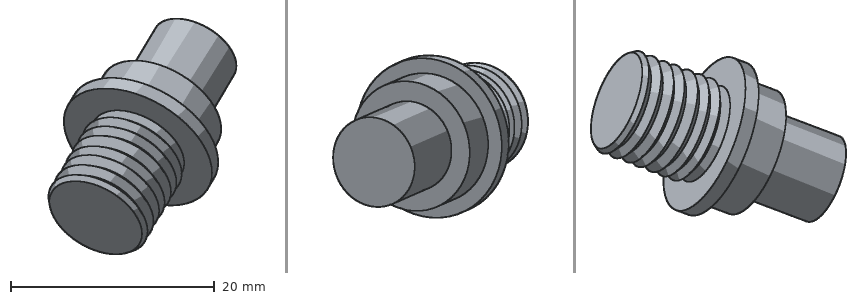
import cadquery as cq


flange_diameter = 16.0
flange_length = 1.5
collar_diameter = 13.0
collar_length = 4.0
shaft_diameter = 9.0
shaft_length = 8.0

ridged_length = 10.0
neck_diameter = 10.0
crest_diameter = 10.7
low_crest_diameter = 10.6
root_diameter = 9.2
tip_diameter = 10.0

ridges = [
    (0.85, 1.35, crest_diameter),
    (2.00, 2.60, crest_diameter),
    (3.25, 3.90, crest_diameter),
    (4.75, 5.40, crest_diameter),
    (6.10, 6.60, low_crest_diameter),
    (7.40, 8.05, crest_diameter),
    (8.75, 9.45, crest_diameter),
]


def cylinder_along_y(diameter, start, length):
    """Cylinder on the Y axis, reaching from start towards +Y."""
    plane = cq.Workplane("XZ", origin=(0, start, 0))
    return plane.circle(diameter / 2).extrude(-length)


def make_plain_end():
    """Flange, collar and shaft stacked towards +Y."""
    collar_start = flange_length
    shaft_start = collar_start + collar_length
    flange = cylinder_along_y(flange_diameter, 0, flange_length)
    collar = cylinder_along_y(collar_diameter, collar_start, collar_length)
    shaft = cylinder_along_y(shaft_diameter, shaft_start, shaft_length)
    return flange.union(collar).union(shaft)


def make_ridged_end():
    """Tapered neck, V-shaped ring ridges and tapered tip, revolved about Y."""
    outline = [(0, 0), (neck_diameter / 2, 0)]
    for root_distance, crest_distance, diameter in ridges:
        outline.append((root_diameter / 2, -root_distance))
        outline.append((diameter / 2, -crest_distance))
    outline.append((tip_diameter / 2, -ridged_length))
    outline.append((0, -ridged_length))
    profile = cq.Workplane("XY").polyline(outline).close()
    return profile.revolve(360, (0, 0, 0), (0, 1, 0))


result = make_plain_end().union(make_ridged_end())